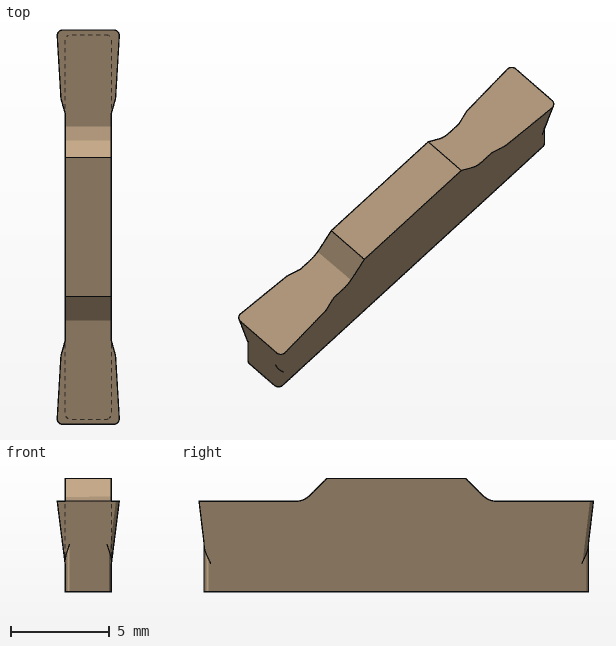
import cadquery as cq
import math

length = 20.0
body_width = 2.35
body_length = 19.5
body_height = 5.75

seat_height = 4.6
platform_length = 7.05
platform_slope = 45.0
platform_root_radius = 1.0

edge_width = 3.15
bend_distance = 6.52
neck_distance = 5.75
bend_width = 2.78
head_inner_end = 5.0
head_depth = 4.0
relief_angle = 6.8
corner_radius = 0.3


def make_body():
    """Bar with a raised platform, blended slopes and rounded end corners."""
    slope_run = (body_height - seat_height) / math.tan(math.radians(platform_slope))
    top_y = platform_length / 2
    root_y = top_y + slope_run
    end_y = body_length / 2
    half_profile = [
        (end_y, 0),
        (end_y, seat_height),
        (root_y, seat_height),
        (top_y, body_height),
    ]
    mirrored = [(-y, z) for y, z in reversed(half_profile)]
    body = cq.Workplane("YZ").polyline(half_profile + mirrored).close()
    body = body.extrude(body_width / 2, both=True)

    end_corners = body.edges("|Z")
    body = end_corners.fillet(corner_radius)
    for side in (-1, 1):
        root = cq.selectors.NearestToPointSelector((0, side * root_y, seat_height))
        body = body.edges("|X").edges(root).fillet(platform_root_radius)
    return body


def make_head():
    """Head at the -Y end: it narrows towards the body and tapers downwards."""
    half_edge = edge_width / 2
    half_bend = bend_width / 2
    half_neck = body_width / 2

    flank_slope = (half_edge - half_bend) / (length / 2 - bend_distance - corner_radius)
    flank_angle = math.atan(flank_slope)
    arc_inset_factor = (math.cos(flank_angle) + math.sin(flank_angle) - 1) / math.cos(flank_angle)
    arc_inset = corner_radius * arc_inset_factor
    half_corner = half_edge + arc_inset

    neck_slope = (half_bend - half_neck) / (bend_distance - neck_distance)
    half_inner = half_neck - neck_slope * (neck_distance - head_inner_end)

    right_side = [
        (half_corner, -length / 2),
        (half_bend, -bend_distance),
        (half_inner, -head_inner_end),
    ]
    left_side = [(-x, y) for x, y in reversed(right_side)]
    head = cq.Workplane("XY").workplane(offset=seat_height)
    head = head.polyline(right_side + left_side).close()
    head = head.extrude(-head_depth, taper=relief_angle)
    return head.edges("not #Z").fillet(corner_radius)


front_head = make_head()
back_head = front_head.mirror("XZ")
result = make_body().union(front_head).union(back_head)